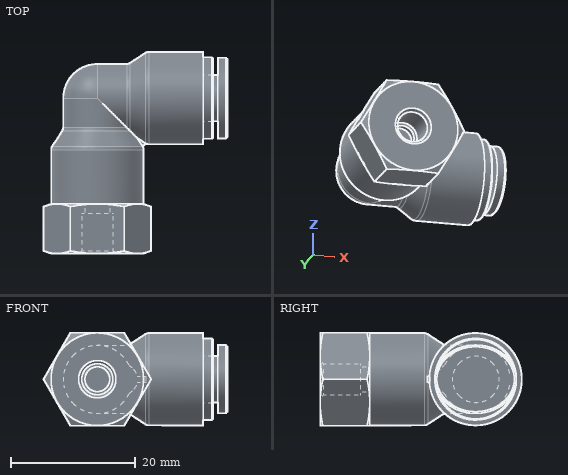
import cadquery as cq
import math

overall_length = 32.45

neck_diameter = 11.0
arm_diameter = 14.9
arm_length = 17.0
cone_start = 5.0
cone_end = 7.98
cone_blend_radius = 1.0
web_reach = 7.55
web_half_edge = 0.5
web_thickness = 1.0

hex_across_flats = 15.0
hex_chamfer_angle = 20.0
port_mouth_diameter = 6.0
port_diameter = 5.0
port_depth = 6.5
port_chamfer = (port_mouth_diameter - port_diameter) / 2
passage_diameter = 4.0

collar_diameter = 13.15
collar_thickness = 1.62
collar_chamfer = 0.2
stem_diameter = 7.5
button_gap = 0.75
button_width = 13.05
button_height = 11.0
button_thickness = 1.55
button_chamfer = 0.3

neck_radius = neck_diameter / 2
arm_radius = arm_diameter / 2
hex_corner_radius = hex_across_flats / math.sqrt(3)
hex_chamfer_height = (hex_corner_radius - arm_radius) * math.tan(math.radians(hex_chamfer_angle))
port_face_y = arm_radius - overall_length
hex_length = -port_face_y - arm_length
collar_end_x = arm_length + collar_thickness
button_start_x = collar_end_x + button_gap


def make_arm():
    """One arm along +X: neck, blended cone and full-diameter sleeve."""
    profile = [
        (0, 0),
        (0, neck_radius),
        (cone_start, neck_radius),
        (cone_end, arm_radius),
        (arm_length, arm_radius),
        (arm_length, 0),
    ]
    arm = cq.Workplane("XY").polyline(profile).close().revolve(360, (0, 0, 0), (1, 0, 0))
    circles = arm.edges("%CIRCLE").sort(lambda edge: edge.Center().x).vals()
    cone_rims = circles[1:3]
    return arm.newObject(cone_rims).fillet(cone_blend_radius)


def make_web():
    """Thin flat web filling the inner corner between the two cones."""
    outline = [
        (neck_radius, -neck_radius),
        (web_reach + web_half_edge, -web_reach + web_half_edge),
        (web_reach - web_half_edge, -web_reach - web_half_edge),
    ]
    return cq.Workplane("XY").polyline(outline).close().extrude(web_thickness / 2, both=True)


def make_housing():
    """Both arms joined by a ball at the bend and a web in the inner corner."""
    arm_x = make_arm()
    arm_y = make_arm().rotate((0, 0, 0), (0, 0, 1), -90)
    ball = cq.Workplane("XY").sphere(neck_radius)
    return arm_x.union(arm_y).union(ball).union(make_web())


def make_hex_end():
    """Hexagon with both ends turned to a shallow cone, and a stepped port."""
    end_plane = cq.Workplane("XZ", origin=(0, -arm_length, 0))
    hexagon = end_plane.polygon(6, 2 * hex_corner_radius).extrude(hex_length)
    turned_profile = [
        (0, port_face_y),
        (arm_radius, port_face_y),
        (hex_corner_radius, port_face_y + hex_chamfer_height),
        (hex_corner_radius, -arm_length - hex_chamfer_height),
        (arm_radius, -arm_length),
        (0, -arm_length),
    ]
    turned = cq.Workplane("XY").polyline(turned_profile).close().revolve(360, (0, 0, 0), (0, 1, 0))
    port_profile = [
        (0, port_face_y),
        (port_mouth_diameter / 2, port_face_y),
        (port_diameter / 2, port_face_y + port_chamfer),
        (port_diameter / 2, port_face_y + port_depth),
        (passage_diameter / 2, port_face_y + port_depth),
        (passage_diameter / 2, -arm_length),
        (0, -arm_length),
    ]
    port = cq.Workplane("XY").polyline(port_profile).close().revolve(360, (0, 0, 0), (0, 1, 0))
    return hexagon.intersect(turned).cut(port)


def make_collar():
    """Ring seated on the end of the +X arm, bored for the button stem."""
    return (
        cq.Workplane("YZ", origin=(arm_length, 0, 0))
        .circle(collar_diameter / 2)
        .extrude(collar_thickness)
        .faces(">X")
        .chamfer(collar_chamfer)
        .faces(">X")
        .workplane()
        .hole(stem_diameter)
    )


def make_button():
    """Oval push head on a round stem that runs through the collar."""
    head = (
        cq.Workplane("YZ", origin=(button_start_x, 0, 0))
        .ellipse(button_width / 2, button_height / 2)
        .extrude(button_thickness)
        .faces(">X")
        .chamfer(button_chamfer)
    )
    stem = (
        cq.Workplane("YZ", origin=(arm_length, 0, 0))
        .circle(stem_diameter / 2)
        .extrude(button_start_x - arm_length)
    )
    return head.union(stem)


housing = make_housing()
hex_end = make_hex_end()
collar = make_collar()
button = make_button()

result = cq.Compound.makeCompound([housing.val(), hex_end.val(), collar.val(), button.val()])